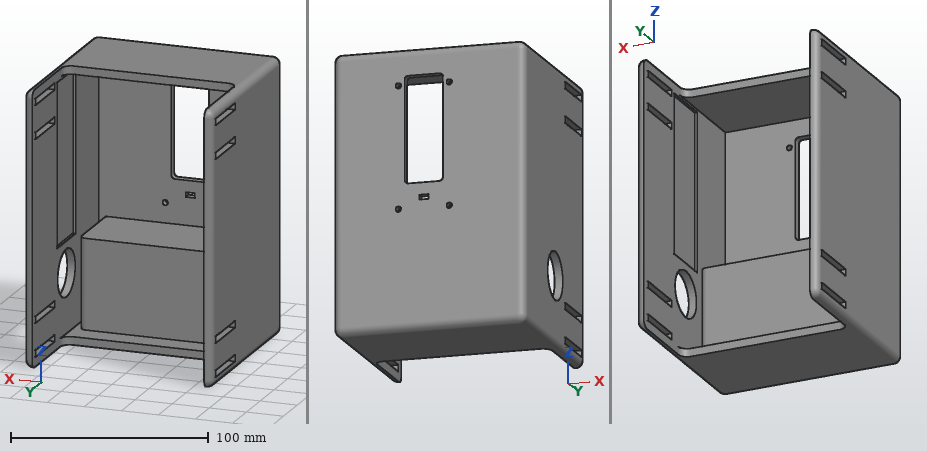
import cadquery as cq

WIDTH = 101.7
DEPTH = 101.7
HEIGHT = 147.3
WALL = 4.4
EDGE_RADIUS = 4.1

TOP_PLATE_DEPTH = 53.6
BOTTOM_PLATE_DEPTH = 55.7
CUTOUT_CORNER_RADIUS = 5.0

DISPLAY_X = 48.0
WINDOW_WIDTH = 20.3
WINDOW_HEIGHT = 56.3
WINDOW_Z = 105.0
WINDOW_CORNER_RADIUS = 2.0
SCREW_HOLE_DIAMETER = 2.8
SCREW_SPACING_X = 27.0
SCREW_SPACING_Z = 64.5
SCREW_PATTERN_Z = 96.0
INDICATOR_WIDTH = 4.9
INDICATOR_HEIGHT = 2.5
INDICATOR_Z = 69.2

STRAP_SLOT_LENGTH = 28.1
STRAP_SLOT_HEIGHT = 3.5
STRAP_SLOT_Y = 82.5
STRAP_SLOT_OFFSETS = (48.8, 66.7)

SIDE_CENTRE_Y = 51.5
POCKET_DEPTH = 1.5
POCKET_WIDTH = 27.4
POCKET_BOTTOM = 53.5
POCKET_TOP = 141.5
CABLE_HOLE_DIAMETER = 25.3
CABLE_HOLE_Z = 36.5

BLOCK_SIDE_GAP = 3.7
BLOCK_DEPTH = 38.5
BLOCK_TOP = 53
BLOCK_CORNER_RADIUS = 3.5


def box_between(x_range, y_range, z_range):
    """Box filling the given X, Y and Z ranges."""
    sizes = [high - low for low, high in (x_range, y_range, z_range)]
    corner = (x_range[0], y_range[0], z_range[0])
    return cq.Workplane("XY").box(*sizes, centered=False).translate(corner)


def plate_cutout(plate_depth, plate_bottom):
    """Cutter that trims a horizontal plate behind plate_depth, with rounded front corners."""
    cutter = box_between(
        (WALL, WIDTH - WALL),
        (plate_depth, DEPTH),
        (plate_bottom, plate_bottom + WALL),
    )
    return cutter.edges("|Z and <Y").fillet(CUTOUT_CORNER_RADIUS)


def make_shell():
    """Rounded box with an open back and shortened top and bottom plates."""
    outer = box_between((0, WIDTH), (0, DEPTH), (0, HEIGHT)).edges().fillet(EDGE_RADIUS)
    cavity = box_between((WALL, WIDTH - WALL), (WALL, DEPTH), (WALL, HEIGHT - WALL))
    return (
        outer.cut(cavity)
        .cut(plate_cutout(TOP_PLATE_DEPTH, HEIGHT - WALL))
        .cut(plate_cutout(BOTTOM_PLATE_DEPTH, 0))
    )


def display_openings():
    """Cutter for the window, the indicator slot and the four screw holes in the front wall."""
    window = box_between(
        (DISPLAY_X - WINDOW_WIDTH / 2, DISPLAY_X + WINDOW_WIDTH / 2),
        (0, WALL),
        (WINDOW_Z - WINDOW_HEIGHT / 2, WINDOW_Z + WINDOW_HEIGHT / 2),
    )
    window = window.edges("|Y").fillet(WINDOW_CORNER_RADIUS)
    indicator = box_between(
        (DISPLAY_X - INDICATOR_WIDTH / 2, DISPLAY_X + INDICATOR_WIDTH / 2),
        (0, WALL),
        (INDICATOR_Z - INDICATOR_HEIGHT / 2, INDICATOR_Z + INDICATOR_HEIGHT / 2),
    )
    screw_holes = (
        cq.Workplane("XZ")
        .center(DISPLAY_X, SCREW_PATTERN_Z)
        .rarray(SCREW_SPACING_X, SCREW_SPACING_Z, 2, 2)
        .circle(SCREW_HOLE_DIAMETER / 2)
        .extrude(-WALL)
    )
    return window.union(indicator).union(screw_holes)


def strap_slots():
    """Cutter for the slots that run through both side walls."""
    heights = [HEIGHT / 2 + side * offset for side in (-1, 1) for offset in STRAP_SLOT_OFFSETS]
    return (
        cq.Workplane("YZ")
        .pushPoints([(STRAP_SLOT_Y, height) for height in heights])
        .rect(STRAP_SLOT_LENGTH, STRAP_SLOT_HEIGHT)
        .extrude(WIDTH)
    )


def wall_pocket():
    """Cutter for the shallow pocket in the inner face of the +X wall."""
    inner_face = WIDTH - WALL
    return box_between(
        (inner_face, inner_face + POCKET_DEPTH),
        (SIDE_CENTRE_Y - POCKET_WIDTH / 2, SIDE_CENTRE_Y + POCKET_WIDTH / 2),
        (POCKET_BOTTOM, POCKET_TOP),
    )


def cable_hole():
    """Cutter for the round hole through the +X wall."""
    return (
        cq.Workplane("YZ", origin=(WIDTH - WALL, SIDE_CENTRE_Y, CABLE_HOLE_Z))
        .circle(CABLE_HOLE_DIAMETER / 2)
        .extrude(WALL)
    )


def make_housing():
    """Shell with all its openings."""
    return (
        make_shell()
        .cut(display_openings())
        .cut(strap_slots())
        .cut(wall_pocket())
        .cut(cable_hole())
    )


def make_block():
    """Block between the side walls, with rounded rear corners."""
    block = box_between(
        (WALL + BLOCK_SIDE_GAP, WIDTH - WALL - BLOCK_SIDE_GAP),
        (WALL, WALL + BLOCK_DEPTH),
        (WALL, BLOCK_TOP),
    )
    return block.edges("|Z and >Y").fillet(BLOCK_CORNER_RADIUS)


housing = make_housing()
block = make_block()
result = cq.Compound.makeCompound([housing.val(), block.val()])